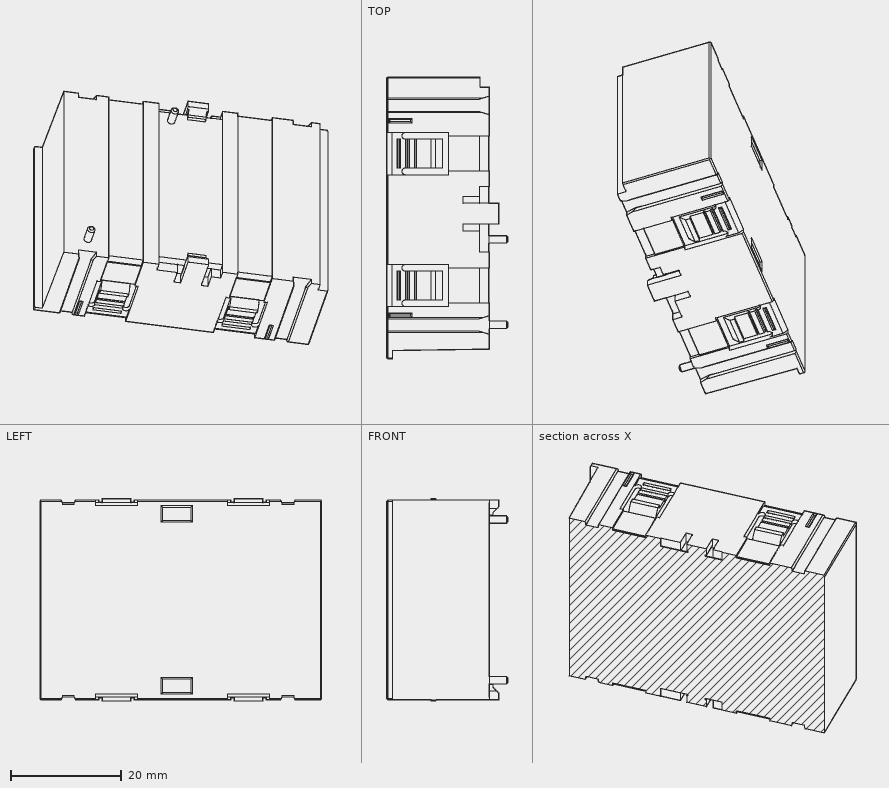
import cadquery as cq

LENGTH = 51.1
WIDTH = 36.25
DEPTH = 18.65
HALF_Y = LENGTH / 2
TOP = WIDTH / 2
FACE_CHAMFER = 0.3
END_CHAMFER = 0.18
LIP_THICKNESS = 1.1
LIP_STEP = 1.5
WALL_DRAFT = 0.25
BACK_STEP_X = 16.95
BACK_STEP_Y = 1.85

GROOVE_CENTERS = (20.4, -19.4)
GROOVE_WIDTH = 2.65
GROOVE_SLANT = 0.25
GROOVE_DEPTH = 0.5
RAMP_START_X = 15.05
RAMP_DROP = 0.4
FLARE_START_X = 16.6
FLARE = 0.35

WINDOW_CENTERS = (11.65, -12.25)
WINDOW_WIDTH = 7.65
WINDOW_BACK_X = 11.25
WINDOW_FRONT_X = 3.4
WINDOW_DEPTH = 1.3
SLOT_WIDTH = 1.25
TONGUE_WIDTH = WINDOW_WIDTH - 2 * SLOT_WIDTH
TONGUE_DROP = 0.5
SKIRT_LENGTH = 0.95
SKIRT_DROP = 0.55
BUMP_FRONT_X = 8.0
BUMP_BACK_X = 8.9
TONGUE_END_X = 10.1
BUMP_HEIGHT = 0.2
GRIP_GROOVES = ((1.9, 2.55, 0.2), (3.45, 4.15, 0.2), (5.1, 5.45, 0.05))
GRIP_DEPTH = 0.35

CHANNEL_WIDTH = 6.4
CHANNEL_DEPTH = 0.35
REAR_LEDGE_X = 16.85
REAR_LEDGE_DEPTH = 0.55
CORE_BACK_X = 18.55

NOTCH_CENTER = -0.25
NOTCH_WIDTH = 11.8
NOTCH_DEPTH = 1.8
HOOK_CENTER = 0.75
HOOK_WIDTH = 3.85
HOOK_SLOT_WIDTH = 6.3
HOOK_SLOT_X = 13.9
HOOK_SLOT_DEPTH = 2.05
HOOK_TIP_X = 20.4
HOOK_EDGE = 1.25
HOOK_THICKNESS = 1.6
GUSSET_X = 19.3
GUSSET_END = 2.8
GUSSET_INSET = 0.25

MARK_CENTERS = (17.6, -17.6)
MARK_START_X = 0.45
MARK_LENGTH = 4.15
MARK_WIDTH = 0.75
MARK_DEPTH = 0.25
MARK_TAPER = 40.0

POCKET_Y = 0.7
POCKET_Z = 15.6
POCKET_LENGTH = 5.7
POCKET_WIDTH = 3.0
POCKET_DEPTH = 1.25
POCKET_CHAMFER = 0.3
POCKET_CHAMFER_ANGLE = 45.0

PIN_POSITIONS = ((-3.9, 14.55), (-19.35, -14.55))
PIN_DIAMETER = 1.4
PIN_TIP_X = 22.0
PIN_CHAMFER = 0.3
PIN_ROOT = 1.0


def box(x0, x1, y_center, y_width, z0, z1):
    """Block between two X planes and two Z planes, centered on y_center."""
    return cq.Workplane("XY").box(x1 - x0, y_width, z1 - z0, centered=False).translate(
        (x0, y_center - y_width / 2, z0)
    )


def xz_prism(points, y_center, y_width):
    """Outline in the XZ plane extruded along Y, centered on y_center."""
    plane = cq.Workplane("XZ", origin=(0, y_center + y_width / 2, 0))
    return plane.polyline(points).close().extrude(y_width)


def both_sides(shape):
    """The shape together with its mirror image on the -Z side."""
    return shape.union(shape.mirror("XY"))


def housing():
    wall_y = -HALF_Y + LIP_STEP
    outline = [
        (0, -HALF_Y + END_CHAMFER),
        (FACE_CHAMFER, -HALF_Y),
        (LIP_THICKNESS, -HALF_Y),
        (LIP_THICKNESS, wall_y),
        (DEPTH, wall_y + WALL_DRAFT),
        (DEPTH, HALF_Y - BACK_STEP_Y),
        (BACK_STEP_X, HALF_Y - BACK_STEP_Y),
        (BACK_STEP_X, HALF_Y),
        (FACE_CHAMFER, HALF_Y),
        (0, HALF_Y - END_CHAMFER),
    ]
    body = cq.Workplane("XY").polyline(outline).close().extrude(TOP, both=True)
    body = body.faces("<X").edges("|Y").chamfer(FACE_CHAMFER)
    corner = [(HALF_Y - END_CHAMFER, TOP), (HALF_Y, TOP - FACE_CHAMFER), (HALF_Y, TOP)]
    corner_cut = cq.Workplane("YZ").polyline(corner).close().extrude(DEPTH)
    corner_cuts = corner_cut.union(corner_cut.mirror("XZ"))
    return body.cut(both_sides(corner_cuts))


def groove(y_center):
    floor = TOP - GROOVE_DEPTH
    half_top = GROOVE_WIDTH / 2
    half_floor = half_top - GROOVE_SLANT
    section = [(-half_top, TOP), (-half_floor, floor), (half_floor, floor), (half_top, TOP)]
    channel = cq.Workplane("YZ").polyline(section).close().extrude(DEPTH)
    chamfer_run = xz_prism(
        [(0, floor - FACE_CHAMFER), (FACE_CHAMFER, floor), (0, floor)], 0, 2 * half_floor
    )
    ramp = xz_prism(
        [(RAMP_START_X, floor), (DEPTH, floor - RAMP_DROP), (DEPTH, floor)], 0, 2 * half_floor
    )
    flare_outline = [
        (FLARE_START_X, -half_floor),
        (DEPTH, -half_top - FLARE),
        (DEPTH, half_top + FLARE),
        (FLARE_START_X, half_floor),
    ]
    flare_base = floor - RAMP_DROP
    flare = cq.Workplane("XY", origin=(0, 0, flare_base)).polyline(flare_outline).close()
    flare_cut = flare.extrude(TOP - flare_base)
    ramp_bed = xz_prism(
        [(RAMP_START_X, flare_base), (RAMP_START_X, floor), (DEPTH, flare_base)],
        0,
        GROOVE_WIDTH + 2 * FLARE,
    )
    shape = channel.union(chamfer_run).union(ramp).union(flare_cut.cut(ramp_bed))
    return shape.translate((0, y_center, 0))


def window(y_center):
    tongue_z = TOP - TONGUE_DROP
    slot_z = TOP - WINDOW_DEPTH
    opening = box(0, WINDOW_BACK_X, y_center, WINDOW_WIDTH, tongue_z, TOP + BUMP_HEIGHT)
    skirt = xz_prism(
        [(0, tongue_z - SKIRT_DROP), (SKIRT_LENGTH, tongue_z), (0, tongue_z)],
        y_center,
        WINDOW_WIDTH,
    )
    trench = box(WINDOW_FRONT_X, WINDOW_BACK_X, y_center, WINDOW_WIDTH, slot_z, tongue_z)
    side_slots = trench.cut(
        box(WINDOW_FRONT_X, TONGUE_END_X, y_center, TONGUE_WIDTH, slot_z, tongue_z)
    )
    for side in (-1, 1):
        slot_y = y_center + side * (TONGUE_WIDTH + SLOT_WIDTH) / 2
        round_end = cq.Workplane("XY", origin=(WINDOW_FRONT_X, slot_y, slot_z)).circle(SLOT_WIDTH / 2)
        side_slots = side_slots.union(round_end.extrude(WINDOW_DEPTH - TONGUE_DROP))
    shape = opening.union(skirt).union(side_slots)
    grip_z = tongue_z - GRIP_DEPTH
    for start, end, slant in GRIP_GROOVES:
        points = [(start, tongue_z), (start + slant, grip_z), (end - slant, grip_z), (end, tongue_z)]
        shape = shape.union(xz_prism(points, y_center, TONGUE_WIDTH))
    back_slope = xz_prism(
        [(BUMP_BACK_X, TOP + BUMP_HEIGHT), (TONGUE_END_X, TOP + BUMP_HEIGHT), (TONGUE_END_X, slot_z)],
        y_center,
        TONGUE_WIDTH,
    )
    crest = box(BUMP_FRONT_X, TONGUE_END_X, y_center, TONGUE_WIDTH, tongue_z, TOP + BUMP_HEIGHT)
    return shape.cut(crest).union(back_slope), crest.cut(back_slope)


def channel(y_center):
    shape = box(WINDOW_BACK_X, DEPTH, y_center, CHANNEL_WIDTH, TOP - CHANNEL_DEPTH, TOP)
    ledge = box(REAR_LEDGE_X, DEPTH, y_center, CHANNEL_WIDTH, TOP - REAR_LEDGE_DEPTH, TOP)
    back = box(CORE_BACK_X, DEPTH, y_center, CHANNEL_WIDTH, 0, TOP)
    return shape.union(ledge).union(back)


def notch():
    floor = TOP - NOTCH_DEPTH
    shape = box(REAR_LEDGE_X, DEPTH, NOTCH_CENTER, NOTCH_WIDTH, floor, TOP)
    slot_floor = TOP - HOOK_SLOT_DEPTH
    shape = shape.union(box(HOOK_SLOT_X, REAR_LEDGE_X, HOOK_CENTER, HOOK_SLOT_WIDTH, slot_floor, TOP))
    return shape.union(box(CORE_BACK_X, DEPTH, NOTCH_CENTER, NOTCH_WIDTH, 0, TOP))


def hook():
    underside = TOP - HOOK_THICKNESS
    slope_top = TOP - HOOK_EDGE
    slope_corner_x = HOOK_TIP_X - (HOOK_THICKNESS - HOOK_EDGE)
    slope_end = slope_top - (HOOK_TIP_X - GUSSET_X)
    bar = xz_prism(
        [
            (HOOK_SLOT_X, underside),
            (HOOK_SLOT_X, TOP),
            (HOOK_TIP_X, TOP),
            (HOOK_TIP_X, slope_top),
            (slope_corner_x, underside),
        ],
        HOOK_CENTER,
        HOOK_WIDTH,
    )
    gusset = xz_prism(
        [
            (HOOK_SLOT_X, underside),
            (slope_corner_x, underside),
            (GUSSET_X, slope_end),
            (GUSSET_X, TOP - GUSSET_END),
            (HOOK_SLOT_X, TOP - GUSSET_END),
        ],
        HOOK_CENTER,
        HOOK_WIDTH - 2 * GUSSET_INSET,
    )
    return bar.union(gusset)


def mark(y_center):
    center_x = MARK_START_X + MARK_LENGTH / 2
    plane = cq.Workplane("XY", origin=(center_x, y_center, TOP))
    return plane.rect(MARK_LENGTH, MARK_WIDTH).extrude(-MARK_DEPTH, taper=MARK_TAPER)


def pocket():
    plane = cq.Workplane("YZ", origin=(0, POCKET_Y, POCKET_Z))
    mouth = plane.rect(POCKET_LENGTH, POCKET_WIDTH).extrude(POCKET_CHAMFER, taper=POCKET_CHAMFER_ANGLE)
    inset = 2 * POCKET_CHAMFER
    return mouth.union(plane.rect(POCKET_LENGTH - inset, POCKET_WIDTH - inset).extrude(POCKET_DEPTH))


def pin(y, z):
    root_x = CORE_BACK_X - PIN_ROOT
    rod = cq.Workplane("YZ", origin=(root_x, y, z)).circle(PIN_DIAMETER / 2)
    return rod.extrude(PIN_TIP_X - root_x).faces(">X").chamfer(PIN_CHAMFER)


result = housing()
for groove_y in GROOVE_CENTERS:
    result = result.cut(both_sides(groove(groove_y)))
for window_y in WINDOW_CENTERS:
    recess, bump = window(window_y)
    result = result.cut(both_sides(recess)).union(both_sides(bump))
    result = result.cut(both_sides(channel(window_y)))
for mark_y in MARK_CENTERS:
    result = result.cut(both_sides(mark(mark_y)))
result = result.cut(both_sides(notch())).union(both_sides(hook()))
result = result.cut(both_sides(pocket()))
for pin_y, pin_z in PIN_POSITIONS:
    result = result.union(pin(pin_y, pin_z))